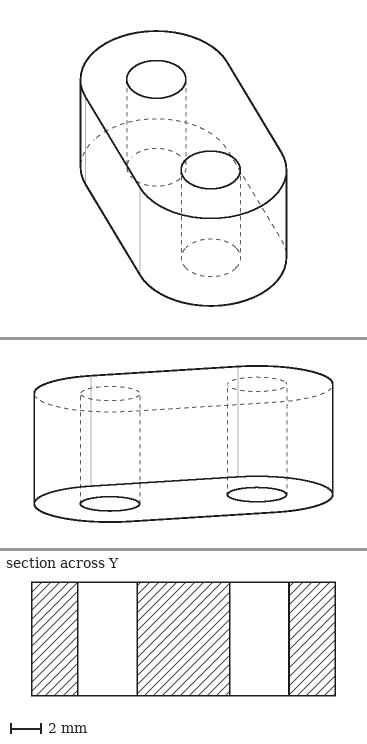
import cadquery as cq

length = 20.0
width = 10.0
height = 7.5
hole_diameter = 3.9

hole_spacing = length - width

block = cq.Workplane("XY").slot2D(length, width).extrude(height)

result = (
    block.faces(">Z")
    .workplane()
    .rarray(hole_spacing, 0.2, 2, 1)
    .hole(hole_diameter)
)